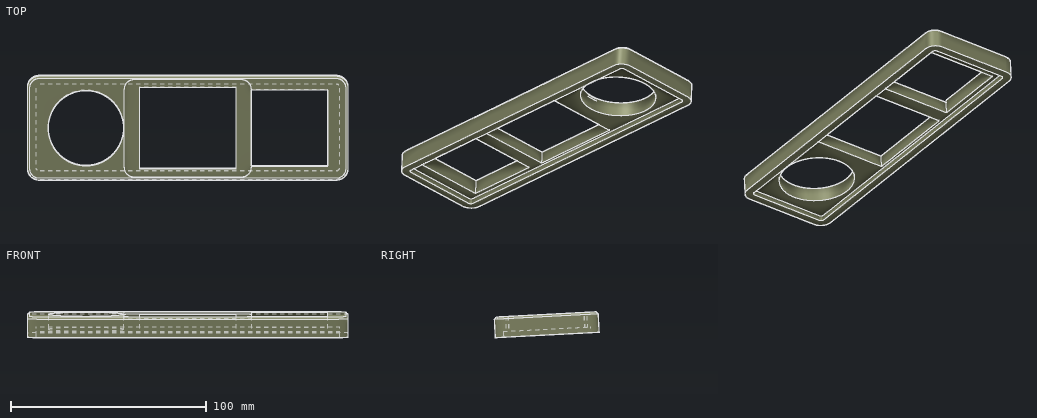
import cadquery as cq

length = 164.4
width = 53.5
thickness = 10.7
rim_width = 4.5
cavity_radius = 1.56
corner_radius = rim_width + cavity_radius
top_edge = 1.2
tilt_angle = 3.0

cavity_depth = 3.0

recess_length = 65.1
recess_width = 50.0
recess_depth = 1.2
recess_radius = 5.0

middle_window_length = 49.3
middle_window_width = 41.6
side_window_size = 39.1
side_window_x = recess_length / 2 + side_window_size / 2
round_diameter = 38.6
round_gap = 0.3
round_x = -(recess_length / 2 + round_gap + round_diameter / 2)


def make_plate():
    """Rounded plate, centred on X and Y, with its top edge broken."""
    plate = cq.Workplane("XY").box(length, width, thickness)
    plate = plate.edges("|Z").fillet(corner_radius)
    return plate.faces(">Z").edges().chamfer(top_edge)


def make_recess():
    """Rounded pocket volume reaching down from the top face."""
    floor = thickness / 2 - recess_depth
    recess = cq.Workplane("XY").workplane(offset=floor).rect(recess_length, recess_width)
    return recess.extrude(recess_depth).edges("|Z").fillet(recess_radius)


def make_cavity():
    """Rounded pocket volume open at the underside, leaving the rim around it."""
    cavity = cq.Workplane("XY").workplane(offset=-thickness / 2)
    cavity = cavity.rect(length - 2 * rim_width, width - 2 * rim_width).extrude(cavity_depth)
    return cavity.edges("|Z").fillet(cavity_radius)


def make_openings():
    """Two rectangular windows and one round opening, full plate depth."""
    middle = cq.Workplane("XY").box(middle_window_length, middle_window_width, thickness)
    side = cq.Workplane("XY").box(side_window_size, side_window_size, thickness)
    side = side.translate((side_window_x, 0, 0))
    bore = cq.Workplane("XY").cylinder(thickness, round_diameter / 2)
    bore = bore.translate((round_x, 0, 0))
    return [middle, side, bore]


frame = make_plate().cut(make_recess()).cut(make_cavity())
for opening in make_openings():
    frame = frame.cut(opening)

result = frame.rotate((0, 0, 0), (1, 0, 0), tilt_angle)